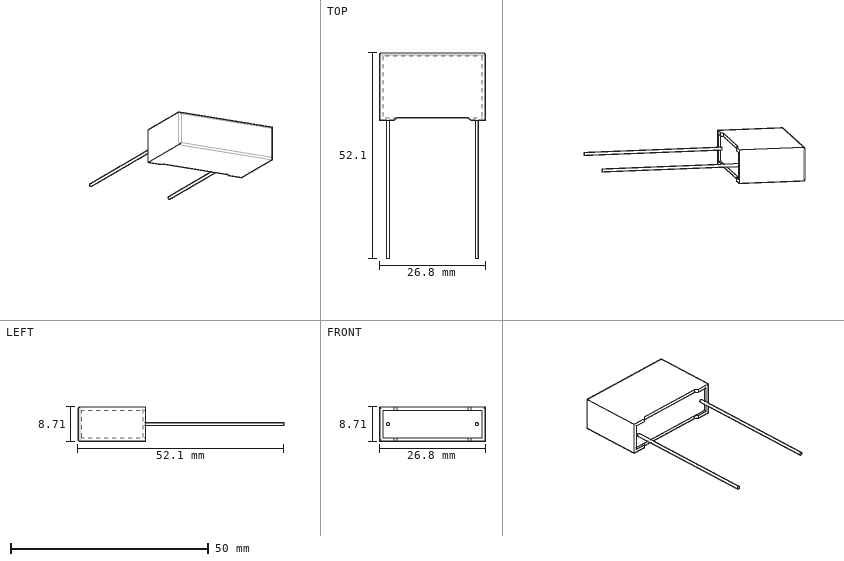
import cadquery as cq


overall_length = 52.1
case_width = 26.8
case_height = 8.71
lead_reach = 35.0
case_depth = overall_length - lead_reach
wall = 0.85
back_edge_radius = 0.5

relief_depth = 0.6
relief_floor_width = 18.0
relief_slope_run = 0.75
relief_mouth_width = relief_floor_width + 2 * relief_slope_run

cavity_width = case_width - 2 * wall
cavity_height = case_height - 2 * wall
fill_front = relief_depth
fill_back = case_depth - wall

lead_diameter = 0.8
lead_pitch = 22.5


def box_along_y(width, height, y_start, y_end):
    """Box centred on the Y axis, running from y_start to y_end."""
    return cq.Workplane("XY").box(width, y_end - y_start, height).translate((0, (y_start + y_end) / 2, 0))


def make_case():
    shell = box_along_y(case_width, case_height, 0, case_depth)
    shell = shell.faces(">Y").edges().fillet(back_edge_radius)
    cavity = box_along_y(cavity_width, cavity_height, 0, fill_back)
    relief = (
        cq.Workplane("XY")
        .polyline([
            (-relief_mouth_width / 2, 0),
            (relief_mouth_width / 2, 0),
            (relief_floor_width / 2, relief_depth),
            (-relief_floor_width / 2, relief_depth),
        ])
        .close()
        .extrude(case_height / 2, both=True)
    )
    return shell.cut(cavity).cut(relief)


def make_fill():
    return box_along_y(cavity_width, cavity_height, fill_front, fill_back)


def make_lead(x):
    """Round wire from the front face of the fill to its free end."""
    return (
        cq.Workplane("XZ", origin=(x, fill_front, 0))
        .circle(lead_diameter / 2)
        .extrude(fill_front + lead_reach)
    )


case = make_case()
fill = make_fill()
leads = [make_lead(side * lead_pitch / 2) for side in (-1, 1)]

result = cq.Compound.makeCompound([case.val(), fill.val(), *[lead.val() for lead in leads]])